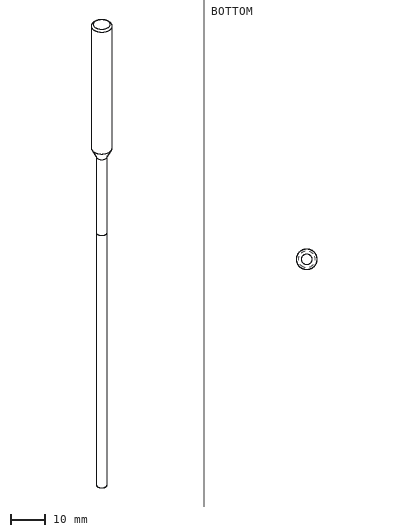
import cadquery as cq
import math

total_length = 167.55
cutting_length = 92.1
shank_length = 44.8

shank_diameter = 6.0
drill_diameter = 3.05
neck_diameter = drill_diameter

point_angle = 140.0
taper_half_angle = 25.0
shank_chamfer = 0.6

shank_radius = shank_diameter / 2
drill_radius = drill_diameter / 2
neck_radius = neck_diameter / 2

point_height = drill_radius / math.tan(math.radians(point_angle / 2))
taper_length = (shank_radius - neck_radius) / math.tan(math.radians(taper_half_angle))
taper_top = total_length - shank_length
taper_bottom = taper_top - taper_length


def revolve_about_z(profile):
    """Turn a closed (radius, z) profile once around the Z axis."""
    return (
        cq.Workplane("XZ")
        .polyline(profile)
        .close()
        .revolve(360, (0, 0, 0), (0, 1, 0))
    )


def make_cutting_part():
    """Plain cylinder with a conical point."""
    return revolve_about_z([
        (0, 0),
        (drill_radius, point_height),
        (drill_radius, cutting_length),
        (0, cutting_length),
    ])


def make_holder():
    """Neck, taper and chamfered shank, standing on the cutting part."""
    return revolve_about_z([
        (0, cutting_length),
        (neck_radius, cutting_length),
        (neck_radius, taper_bottom),
        (shank_radius, taper_top),
        (shank_radius, total_length - shank_chamfer),
        (shank_radius - shank_chamfer, total_length),
        (0, total_length),
    ])


cutting_part = make_cutting_part()
holder = make_holder()

result = cq.Compound.makeCompound([cutting_part.val(), holder.val()])